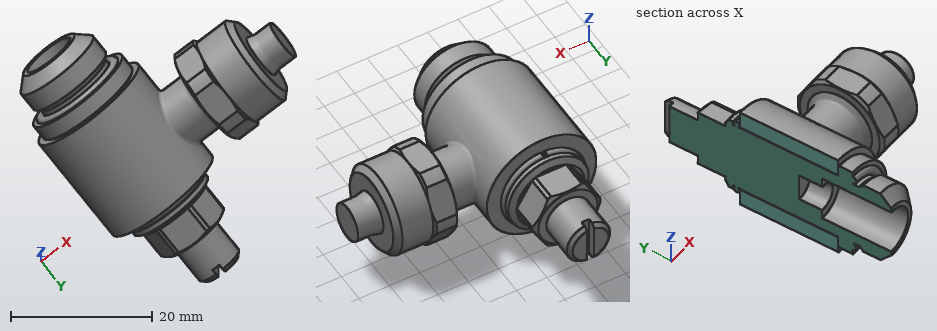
import cadquery as cq
import math

COS30 = math.cos(math.radians(30))
TAN30 = math.tan(math.radians(30))

barrel_radius = 9.0
barrel_top = 7.57
barrel_bottom = -9.5
shank_radius = 5.98

branch_radius = 4.5
branch_fillet = 0.48
hex_start = 13.5
hex_end = 17.5
hex_apothem = 7.0
hex_corner_radius = 7.55
hex_start_chamfer = 0.35
hex_end_chamfer = 0.28
collar_foot_radius = 5.6
sleeve_radius = hex_apothem
sleeve_end = 23.5
sleeve_chamfer = 0.95
spigot_radius = 3.0
spigot_root_radius = 3.3
spigot_taper_length = 1.28
spigot_end = 27.5

bolt_top = 21.2
screw_radius = 3.55
screw_chamfer = 0.6
slot_width = 1.2
slot_depth = 1.4
head_top = 14.9
head_bottom = 10.12
head_apothem = 5.02
head_corner_radius = 5.62
head_chamfer = 0.45
shoulder_radius = 6.6
shoulder_chamfer = 0.6
shoulder_bottom = 8.73

wire_radius = 0.55
ring_outer_radius = 6.95
ring_gap = 0.6

flange_radius = 8.0
flange_chamfer = 0.15
flange_bottom = -12.0
seal_radius = 7.25
seal_height = 0.65
neck_radius = 5.8
thread_radius = 6.55
thread_start = -13.85
thread_end = -16.8
bolt_bottom = -18.65
tip_radius = 4.62
bore_radius = 3.83
bore_depth = 11.95
inner_bore_radius = 2.27
inner_bore_depth = 4.0


def bolt_cylinder(radius, start, end):
    """Cylinder on the Y axis from start to end."""
    return cq.Workplane("XZ", origin=(0, end, 0)).circle(radius).extrude(end - start)


def branch_cylinder(radius, start, end):
    """Cylinder on the X axis from start to end."""
    return cq.Workplane("YZ", origin=(start, 0, 0)).circle(radius).extrude(end - start)


def turned_on_bolt(points):
    """Solid of revolution about Y from (radius, y) points."""
    return cq.Workplane("XY").polyline(points).close().revolve(360, (0, 0, 0), (0, 1, 0))


def turned_on_branch(points):
    """Solid of revolution about X from (x, radius) points."""
    return cq.Workplane("XY").polyline(points).close().revolve(360, (0, 0, 0), (1, 0, 0))


def hexagon(plane, apothem, length):
    """Hexagonal bar with one pair of flats facing +Z and -Z."""
    return cq.Workplane(plane).polygon(6, 2 * apothem / COS30).extrude(length)


def make_collar_hexagon():
    """Hexagon on the branch, its corners turned down and chamfered at 30 degrees."""
    bar = hexagon("YZ", hex_apothem, hex_end - hex_start).translate((hex_start, 0, 0))
    blank = turned_on_branch([
        (hex_start, 0),
        (hex_start, hex_corner_radius - hex_start_chamfer / TAN30),
        (hex_start + hex_start_chamfer, hex_corner_radius),
        (hex_end - hex_end_chamfer, hex_corner_radius),
        (hex_end, hex_corner_radius - hex_end_chamfer / TAN30),
        (hex_end, 0),
    ])
    return bar.intersect(blank)


def make_housing():
    """Barrel with its side branch, hexagon, sleeve and spigot."""
    barrel = bolt_cylinder(barrel_radius, barrel_bottom, barrel_top)
    cone_start = hex_start - (collar_foot_radius - branch_radius) * TAN30
    tube = turned_on_branch([
        (0, 0),
        (0, branch_radius),
        (cone_start, branch_radius),
        (hex_start, collar_foot_radius),
        (hex_start, 0),
    ])
    tube = tube.edges(cq.NearestToPointSelector((cone_start, 0, 0))).fillet(branch_fillet)
    body = barrel.union(tube)
    body = body.edges("not(%CIRCLE or %LINE)").fillet(branch_fillet)

    sleeve = branch_cylinder(sleeve_radius, hex_end, sleeve_end).faces(">X").chamfer(sleeve_chamfer)
    spigot = turned_on_branch([
        (sleeve_end, 0),
        (sleeve_end, spigot_root_radius),
        (sleeve_end + spigot_taper_length, spigot_radius),
        (spigot_end, spigot_radius),
        (spigot_end, 0),
    ])
    body = body.union(make_collar_hexagon()).union(sleeve).union(spigot)
    return body.cut(bolt_cylinder(shank_radius, barrel_bottom, barrel_top))


def make_bolt_head():
    """Hexagon head with a 30 degree chamfer around its top."""
    bar = hexagon("XZ", head_apothem, head_top - head_bottom).translate((0, head_top, 0))
    blank = turned_on_bolt([
        (0, head_bottom),
        (head_corner_radius, head_bottom),
        (head_corner_radius, head_top - head_chamfer),
        (head_corner_radius - head_chamfer / TAN30, head_top),
        (0, head_top),
    ])
    return bar.intersect(blank)


def make_slotted_screw():
    """Adjusting screw above the head, with a driver slot along Z."""
    screw = bolt_cylinder(screw_radius, head_top, bolt_top).faces(">Y").chamfer(screw_chamfer)
    slot = cq.Workplane("XY").box(slot_width, 2 * slot_depth, 2 * barrel_radius)
    return screw.cut(slot.translate((0, bolt_top, 0)))


def make_snap_ring():
    """Round wire ring, open on the +Z side."""
    ring_y = barrel_top + wire_radius
    ring = (
        cq.Workplane("XY")
        .center(ring_outer_radius - wire_radius, ring_y)
        .circle(wire_radius)
        .revolve(360, (wire_radius - ring_outer_radius, 0, 0), (wire_radius - ring_outer_radius, 1, 0))
    )
    opening = cq.Workplane("XY").box(ring_gap, 4 * wire_radius, barrel_radius, centered=(True, True, False))
    return ring.cut(opening.translate((0, ring_y, 0)))


def make_seal_bead():
    """Rounded bead under the flange, around the neck."""
    crown = ((neck_radius + seal_radius) / 2, flange_bottom - seal_height)
    return (
        cq.Workplane("XY")
        .moveTo(neck_radius, flange_bottom)
        .lineTo(seal_radius, flange_bottom)
        .threePointArc(crown, (neck_radius, flange_bottom))
        .close()
        .revolve(360, (0, 0, 0), (0, 1, 0))
    )


def make_bolt():
    """Hollow bolt through the barrel, from the slotted screw to the threaded tip."""
    shoulder = turned_on_bolt([
        (0, shoulder_bottom),
        (shoulder_radius, shoulder_bottom),
        (shoulder_radius, head_bottom - shoulder_chamfer),
        (shoulder_radius - shoulder_chamfer / TAN30, head_bottom),
        (0, head_bottom),
    ])
    shank = bolt_cylinder(shank_radius, barrel_bottom, shoulder_bottom)
    flange = bolt_cylinder(flange_radius, flange_bottom, barrel_bottom).faces(">Y").chamfer(flange_chamfer)
    threaded_end = turned_on_bolt([
        (0, flange_bottom),
        (neck_radius, flange_bottom),
        (neck_radius, thread_start + thread_radius - neck_radius),
        (thread_radius, thread_start),
        (thread_radius, thread_end),
        (tip_radius, bolt_bottom),
        (0, bolt_bottom),
    ])
    bolt = shank.union(shoulder).union(make_bolt_head()).union(make_slotted_screw())
    bolt = bolt.union(make_snap_ring()).union(flange).union(make_seal_bead()).union(threaded_end)

    bore_end = bolt_bottom + bore_depth
    bolt = bolt.cut(bolt_cylinder(bore_radius, bolt_bottom, bore_end))
    return bolt.cut(bolt_cylinder(inner_bore_radius, bore_end, bore_end + inner_bore_depth))


housing = make_housing()
bolt = make_bolt()
result = cq.Compound.makeCompound([*housing.solids().vals(), *bolt.solids().vals()])